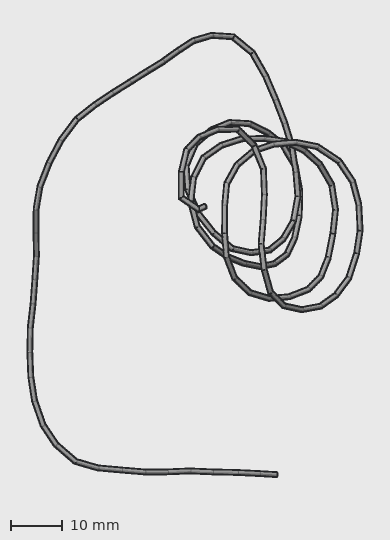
import cadquery as cq

WIRE_DIAMETER = 1.0

hooked_end = [
    (12.8, -6.4, 22.0),
    (12.6, -7.9, 21.7),
    (10.6, -10.6, 24.2),
    (8.8, -9.25, 28.5),
    (6.1, -6.0, 31.35),
    (4.2, -1.5, 32.2),
    (3.45, 3.45, 32.2),
    (3.6, 8.2, 31.0),
    (4.9, 11.2, 27.3),
    (7.1, 11.85, 22.95),
    (9.1, 10.6, 18.5),
    (11.3, 8.65, 14.45),
    (13.5, 6.5, 10.8),
    (15.3, 5.9, 6.2),
]

outer_turn = [
    (16.2, 6.7, 1.5),
    (16.5, 9.75, -2.1),
    (16.3, 14.2, -4.2),
    (15.8, 19.1, -5.0),
    (14.5, 23.7, -4.4),
    (13.3, 27.7, -2.3),
    (11.4, 31.0, 1.35),
    (10.3, 32.7, 5.5),
    (9.7, 32.9, 10.7),
    (8.5, 32.3, 15.2),
    (6.55, 30.4, 19.3),
    (4.7, 26.6, 22.8),
    (3.5, 22.2, 24.5),
    (2.8, 17.3, 25.05),
    (2.7, 12.8, 24.9),
    (3.8, 8.0, 23.6),
    (5.8, 3.95, 21.4),
    (8.4, 1.5, 18.4),
    (10.8, -0.25, 13.9),
    (11.9, -0.7, 9.4),
]

middle_turn = [
    (12.9, 0.6, 5.0),
    (13.3, 3.95, 1.1),
    (13.5, 8.4, -1.3),
    (13.7, 13.1, -2.1),
    (13.1, 18.15, -2.1),
    (11.35, 22.4, -1.3),
    (8.65, 26.2, 0.7),
    (6.1, 29.25, 4.0),
    (4.9, 30.85, 8.3),
    (3.6, 30.85, 13.2),
    (2.4, 28.8, 17.65),
    (1.5, 25.8, 21.0),
    (0.7, 22.0, 23.6),
    (-0.25, 17.3, 25.2),
    (-0.8, 12.4, 26.2),
    (-0.6, 7.4, 26.3),
    (0.25, 2.5, 25.3),
    (2.1, -1.3, 22.8),
    (4.45, -3.7, 19.2),
    (6.55, -3.7, 14.7),
]

inner_turn = [
    (8.5, -1.5, 10.7),
    (8.65, 2.1, 7.5),
    (8.5, 6.1, 5.0),
    (7.65, 10.6, 2.8),
    (6.5, 15.0, 1.8),
    (4.45, 19.4, 1.8),
    (1.8, 23.3, 3.2),
    (-1.1, 26.6, 6.0),
    (-3.4, 28.4, 9.8),
    (-5.3, 28.75, 14.45),
    (-6.9, 26.9, 18.9),
    (-7.4, 23.7, 22.1),
    (-7.7, 19.5, 25.05),
    (-7.7, 14.8, 26.6),
    (-7.1, 9.9, 26.6),
    (-5.9, 5.1, 25.3),
    (-4.1, 1.6, 22.35),
    (-1.35, -0.1, 18.75),
]

coil_exit = [
    (1.6, 0.2, 14.7),
    (4.4, 1.85, 11.1),
    (6.3, 4.9, 7.65),
    (6.8, 9.1, 5.8),
    (6.3, 13.9, 4.9),
    (4.6, 18.4, 5.4),
    (2.5, 22.4, 7.2),
    (0.5, 25.05, 11.1),
    (-1.2, 25.8, 15.55),
    (-2.4, 25.8, 20.4),
    (-4.2, 25.4, 24.9),
    (-6.9, 25.2, 28.9),
]

top_run = [
    (-9.7, 24.9, 32.95),
    (-13.3, 24.4, 36.7),
    (-15.9, 21.6, 39.9),
    (-16.3, 16.8, 41.35),
    (-15.8, 12.0, 41.7),
    (-14.45, 7.15, 41.3),
    (-12.95, 2.5, 40.85),
    (-11.7, -2.35, 40.5),
    (-10.7, -7.15, 39.9),
    (-9.9, -11.9, 39.2),
    (-9.3, -16.55, 38.2),
    (-8.9, -21.2, 36.6),
]

drop = [
    (-9.0, -24.9, 33.1),
    (-9.4, -27.4, 28.9),
    (-9.8, -29.3, 24.2),
    (-10.2, -30.0, 19.5),
    (-10.25, -30.0, 14.6),
    (-10.2, -29.9, 9.7),
    (-10.0, -30.4, 4.9),
    (-9.7, -31.1, 0.1),
    (-9.3, -32.0, -4.7),
    (-8.8, -32.5, -9.6),
    (-8.1, -32.9, -14.45),
    (-7.0, -32.8, -19.2),
    (-5.2, -32.0, -23.95),
    (-3.2, -30.4, -27.7),
]

tail = [
    (-0.8, -27.5, -31.3),
    (0.6, -23.2, -33.3),
    (1.85, -18.5, -34.55),
    (3.0, -13.8, -35.8),
    (4.1, -9.2, -36.65),
    (5.05, -4.4, -37.4),
    (6.4, 0.1, -38.3),
    (7.8, 5.0, -39.25),
    (8.8, 9.5, -40.35),
    (9.4, 13.2, -41.35),
]

joints = (
    hooked_end + outer_turn + middle_turn + inner_turn
    + coil_exit + top_run + drop + tail
)


def bent_wire(points, diameter):
    """Sweep a round section along straight runs between the points, with mitred joints."""
    start = cq.Vector(points[0])
    first_run = cq.Vector(points[1]) - start
    path = cq.Workplane("XY").polyline(points)
    section = cq.Workplane(cq.Plane(origin=start, normal=first_run)).circle(diameter / 2)
    return section.sweep(path, transition="right")


result = bent_wire(joints, WIRE_DIAMETER)